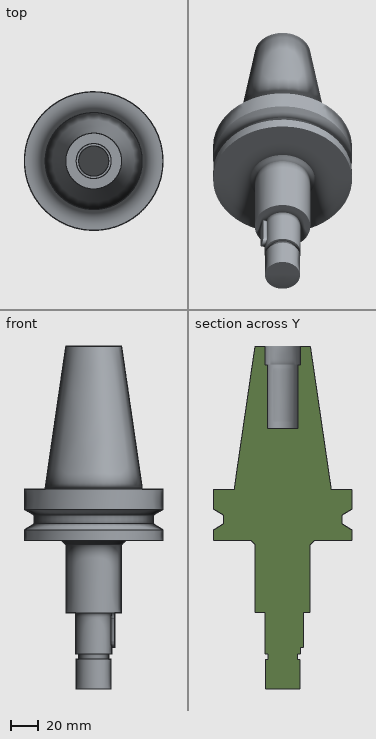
import cadquery as cq

total_height = 246.8

end_radius = 12.5
end_height = 21.5
relief_radius = 10.9
relief_top = 25.2
seat_radius = 13.0
body_radius = 20.0
body_bottom = 54.8
collar_radius = 23.2
collar_height = 3.0

flange_radius = 49.98
flange_bottom = 106.9
flange_top = 144.0
groove_radius = 43.0
groove_lower_edge = 114.5
groove_floor_bottom = 119.0
groove_floor_top = 125.1
groove_upper_edge = 129.3

taper_large_radius = 34.92
taper_bottom = 145.0
taper_ratio = 7 / 24
taper_small_radius = taper_large_radius - (total_height - taper_bottom) * taper_ratio / 2

bore_radius = 12.5
bore_depth = 13.3
tapped_radius = 10.9
tapped_depth = 59.2

key_width = 8.0
key_length = 25.0
key_top = body_bottom
key_outer_x = 15.3
key_inner_x = 9.9


def make_arbor():
    """Revolve the half section of the arbor about Z."""
    half_section = [
        (0, 0),
        (end_radius, 0),
        (end_radius, end_height),
        (relief_radius, end_height),
        (relief_radius, relief_top),
        (seat_radius, relief_top),
        (seat_radius, body_bottom),
        (body_radius, body_bottom),
        (body_radius, flange_bottom - collar_height),
        (collar_radius, flange_bottom),
        (flange_radius, flange_bottom),
        (flange_radius, groove_lower_edge),
        (groove_radius, groove_floor_bottom),
        (groove_radius, groove_floor_top),
        (flange_radius, groove_upper_edge),
        (flange_radius, flange_top),
        (taper_large_radius, flange_top),
        (taper_large_radius, taper_bottom),
        (taper_small_radius, total_height),
        (0, total_height),
    ]
    return cq.Workplane("XZ").polyline(half_section).close().revolve(360, (0, 0, 0), (0, 1, 0))


def make_hole(radius, depth):
    """Return a cylinder reaching down from the top face."""
    return cq.Workplane("XY").workplane(offset=total_height - depth).circle(radius).extrude(depth)


def make_key():
    """Return the round-ended key, standing upright and facing +X."""
    return (
        cq.Workplane("YZ", origin=(key_inner_x, 0, key_top - key_length / 2))
        .slot2D(key_length, key_width, 90)
        .extrude(key_outer_x - key_inner_x)
    )


result = (
    make_arbor()
    .union(make_key())
    .cut(make_hole(bore_radius, bore_depth))
    .cut(make_hole(tapped_radius, tapped_depth))
)